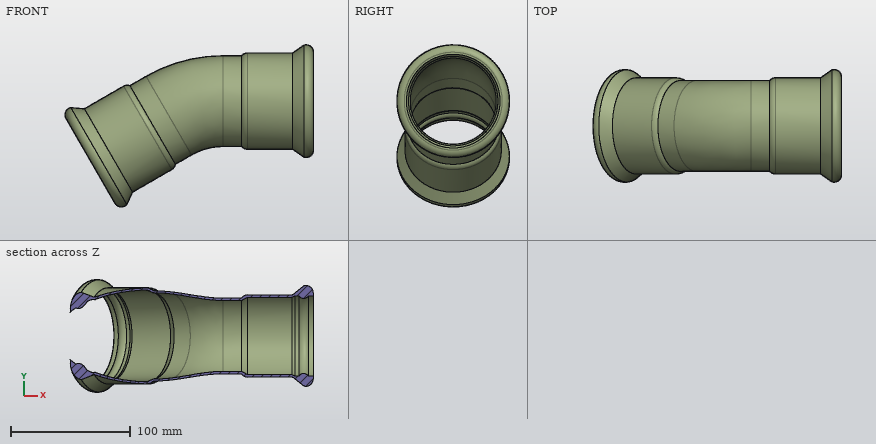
import cadquery as cq
import math

bend_angle = 30.0
bend_radius = 90.8
pipe_radius = 76.2 / 2
pipe_bore_radius = 72.0 / 2
socket_radius = 80.8 / 2
socket_bore_radius = 76.6 / 2

leg_length = 75.8
step_start = 15.6
step_end = 20.5
bead_start = leg_length - 17.5

bead_radius = 94.5 / 2
bead_round = 6.2
mouth_radius = 78.5 / 2
mouth_depth = 15.6
mouth_taper_length = 2.5
flare_tangent_offset = 1.9
seal_depth = 8.3
seal_centre_r = 42.9
seal_round = 5.5

bead_centre_x = leg_length - bead_round
bead_centre_r = bead_radius - bead_round
mouth_end = leg_length - mouth_depth
seal_centre_x = leg_length - seal_depth
seal_half_width = math.sqrt(seal_round**2 - (seal_centre_r - mouth_radius)**2)


def bead_point(radius, x_offset):
    """Point on the outer half of a circle about the bead centre."""
    return (bead_centre_x + x_offset, bead_centre_r + math.sqrt(radius**2 - x_offset**2))


def make_leg():
    """Straight pipe, step, socket, bead and seal ring, revolved about X."""
    diagonal = math.sqrt(0.5)
    step_width = step_end - step_start
    step_drop = socket_radius - pipe_radius
    step_round = (step_width**2 + step_drop**2) / (2 * step_drop)
    step_mid_x = step_end - step_width / 2
    step_mid_r = socket_radius - step_round + math.sqrt(step_round**2 - (step_width / 2)**2)

    profile = (
        cq.Workplane("XY")
        .moveTo(0, pipe_bore_radius)
        .lineTo(0, pipe_radius)
        .lineTo(step_start, pipe_radius)
        .threePointArc((step_mid_x, step_mid_r), (step_end, socket_radius))
        .lineTo(bead_start, socket_radius)
        .lineTo(*bead_point(bead_round, -flare_tangent_offset))
        .threePointArc(bead_point(bead_round, bead_round * diagonal), (leg_length, bead_centre_r))
        .lineTo(leg_length, mouth_radius)
        .lineTo(seal_centre_x + seal_half_width, mouth_radius)
        .threePointArc(
            (seal_centre_x, seal_centre_r - seal_round),
            (seal_centre_x - seal_half_width, mouth_radius),
        )
        .lineTo(mouth_end, mouth_radius)
        .lineTo(mouth_end - mouth_taper_length, socket_bore_radius)
        .lineTo(step_end, socket_bore_radius)
        .lineTo(step_start, pipe_bore_radius)
        .close()
    )
    return profile.revolve(360, (0, 0, 0), (1, 0, 0))


def make_bend():
    """Tube bent downwards from the YZ plane towards -X."""
    ring = cq.Workplane("YZ").circle(pipe_radius).circle(pipe_bore_radius)
    return ring.revolve(bend_angle, (2, -bend_radius, 0), (0, -bend_radius, 0))


leg = make_leg()
bend_centre = (0, 0, -bend_radius)
bend_axis_end = (0, 1, -bend_radius)
lower_leg = leg.mirror("YZ").rotate(bend_centre, bend_axis_end, -bend_angle)

result = make_bend().union(leg).union(lower_leg)